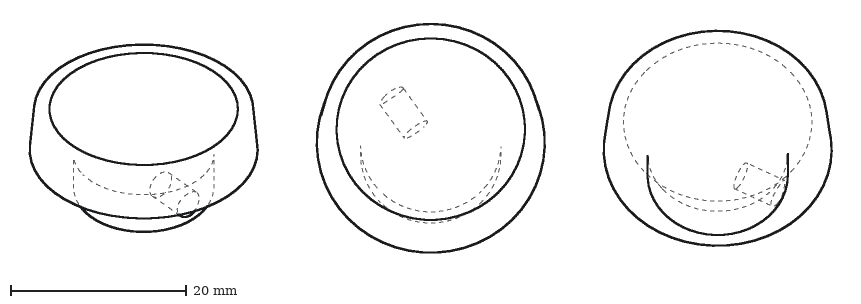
import cadquery as cq
import math

OVERALL_DIAMETER = 26.0
OVERALL_HEIGHT = 15.0
HEAD_BOTTOM = 6.0
HEAD_TOP = 12.0

TAPER_ANGLE = 5.0
HEAD_EDGE_ROUND = 0.2
DOME_RADIUS = 10.75

STEM_RADIUS = 16.0 / 2
STEM_BOTTOM_ROUND = 1.0
STEM_ROOT_FILLET = 0.5

SIDE_HOLE_DIAMETER = 3.25
SIDE_HOLE_DEPTH = 5.0
SIDE_HOLE_HEIGHT = 3.0


def make_head():
    """Tapered disc with rounded rims; the rounded lower rim reaches the overall diameter."""
    height = HEAD_TOP - HEAD_BOTTOM
    half_corner = math.radians((90 - TAPER_ANGLE) / 2)
    lost_to_rounding = HEAD_EDGE_ROUND * (1 / math.tan(half_corner) - 1)
    bottom_radius = OVERALL_DIAMETER / 2 + lost_to_rounding
    return (
        cq.Workplane("XY", origin=(0, 0, HEAD_BOTTOM))
        .circle(bottom_radius)
        .extrude(height, taper=TAPER_ANGLE)
        .edges()
        .fillet(HEAD_EDGE_ROUND)
    )


def make_dome():
    """Spherical cap on top of the head."""
    dome_height = OVERALL_HEIGHT - HEAD_TOP
    sphere_radius = (DOME_RADIUS**2 + dome_height**2) / (2 * dome_height)
    center_height = OVERALL_HEIGHT - sphere_radius
    half_angle = math.asin(DOME_RADIUS / sphere_radius) / 2
    arc_middle = (
        sphere_radius * math.sin(half_angle),
        center_height + sphere_radius * math.cos(half_angle),
    )
    return (
        cq.Workplane("XZ")
        .moveTo(0, HEAD_TOP)
        .lineTo(DOME_RADIUS, HEAD_TOP)
        .threePointArc(arc_middle, (0, OVERALL_HEIGHT))
        .close()
        .revolve(360, (0, 0, 0), (0, 1, 0))
    )


def make_stem():
    """Cylinder with a rounded lower edge and a concave fillet flaring into the head."""
    return (
        cq.Workplane("XZ")
        .lineTo(STEM_RADIUS - STEM_BOTTOM_ROUND, 0)
        .radiusArc((STEM_RADIUS, STEM_BOTTOM_ROUND), -STEM_BOTTOM_ROUND)
        .lineTo(STEM_RADIUS, HEAD_BOTTOM - STEM_ROOT_FILLET)
        .radiusArc((STEM_RADIUS + STEM_ROOT_FILLET, HEAD_BOTTOM), STEM_ROOT_FILLET)
        .lineTo(0, HEAD_BOTTOM)
        .close()
        .revolve(360, (0, 0, 0), (0, 1, 0))
    )


def make_side_hole():
    """Blind hole cutter running inward from the +X side of the stem."""
    return (
        cq.Workplane("YZ", origin=(STEM_RADIUS - SIDE_HOLE_DEPTH, 0, SIDE_HOLE_HEIGHT))
        .circle(SIDE_HOLE_DIAMETER / 2)
        .extrude(SIDE_HOLE_DEPTH)
    )


result = make_head().union(make_stem()).union(make_dome()).cut(make_side_hole())